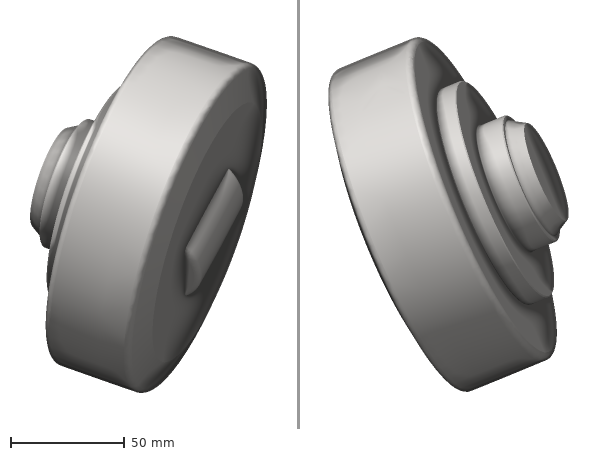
import cadquery as cq
import math


boss_face_x = 7.25
flange_face_x = 20.0
ring_face_x = 29.75
body_end_x = 75.0
overall_length = 82.5

tip_diameter = 46.5
tip_base_diameter = 55.0
boss_diameter = 60.0
flange_diameter = 103.0
edge_chamfer = 0.5
foot_fillet = 0.5

ring_diameter = 153.8
ring_end_drop = 0.1
end_face_diameter = 121.0
end_cone_angle = 15.0
ring_fillet = 3.0

side_roller_diameter = 53.0
side_roller_end_drop = 0.3
side_roller_width = 50.0
side_roller_fillet = 2.5
side_roller_recess_diameter = 39.2
side_roller_recess_depth = 0.5


def make_stepped_pin():
    """Conical tip, boss and flange as one turned piece, with a small fillet at the foot of the boss."""
    boss_radius = boss_diameter / 2
    flange_radius = flange_diameter / 2
    profile = (
        cq.Workplane("XY")
        .lineTo(0, tip_diameter / 2)
        .lineTo(boss_face_x, tip_base_diameter / 2)
        .lineTo(boss_face_x, boss_radius - edge_chamfer)
        .lineTo(boss_face_x + edge_chamfer, boss_radius)
        .lineTo(flange_face_x - foot_fillet, boss_radius)
        .tangentArcPoint((foot_fillet, foot_fillet))
        .lineTo(flange_face_x, flange_radius - edge_chamfer)
        .lineTo(flange_face_x + edge_chamfer, flange_radius)
        .lineTo(ring_face_x - edge_chamfer, flange_radius)
        .lineTo(ring_face_x, flange_radius - edge_chamfer)
        .lineTo(ring_face_x, 0)
        .close()
    )
    return profile.revolve(360, (0, 0, 0), (1, 0, 0))


def make_outer_ring():
    """Crowned ring with a conical run-out to the flat end face and rounded rims."""
    crown_radius = ring_diameter / 2
    rim_radius = crown_radius - ring_end_drop
    end_face_radius = end_face_diameter / 2
    cone_start_x = body_end_x - (rim_radius - end_face_radius) * math.tan(math.radians(end_cone_angle))
    crown_middle_x = (ring_face_x + cone_start_x) / 2
    profile = (
        cq.Workplane("XY")
        .moveTo(ring_face_x, 0)
        .lineTo(ring_face_x, rim_radius)
        .threePointArc((crown_middle_x, crown_radius), (cone_start_x, rim_radius))
        .lineTo(body_end_x, end_face_radius)
        .lineTo(body_end_x, 0)
        .close()
    )
    ring = profile.revolve(360, (0, 0, 0), (1, 0, 0))
    rims = cq.selectors.RadiusNthSelector(1)
    return ring.edges("%CIRCLE").edges(rims).fillet(ring_fillet)


def make_side_roller():
    """Crowned roller with rounded rims and a shallow round recess in each end face."""
    centre_x = overall_length - side_roller_diameter / 2
    half_width = side_roller_width / 2
    rim_x = overall_length - side_roller_end_drop
    profile = (
        cq.Workplane("XY")
        .moveTo(centre_x, -half_width)
        .lineTo(rim_x, -half_width)
        .threePointArc((overall_length, 0), (rim_x, half_width))
        .lineTo(centre_x, half_width)
        .close()
    )
    roller = profile.revolve(360, (centre_x, 0, 0), (centre_x, 1, 0))
    roller = roller.faces("<Y or >Y").edges("%CIRCLE").fillet(side_roller_fillet)
    for side in (-1, 1):
        recess = (
            cq.Workplane("XZ", origin=(centre_x, side * half_width, 0))
            .circle(side_roller_recess_diameter / 2)
            .extrude(side * side_roller_recess_depth)
        )
        roller = roller.cut(recess)
    return roller


result = make_stepped_pin().union(make_outer_ring()).union(make_side_roller())